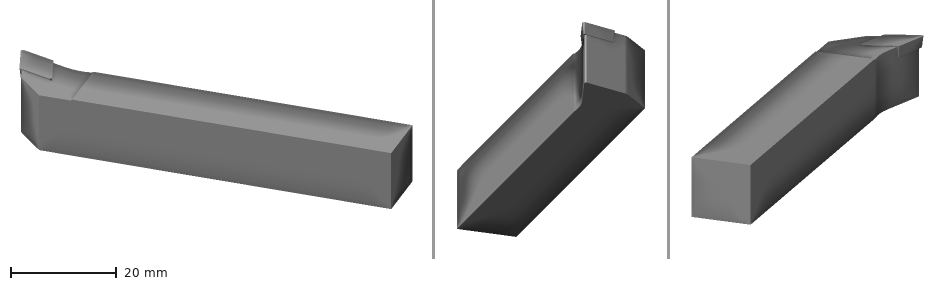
import cadquery as cq
import math

LENGTH = 79.8
SHANK_WIDTH = 12.0
HEIGHT = 12.0
TIP_Y = 15.8

INSERT_ANGLE = 55.0
INSERT_SIDE = 7.7
INSERT_THICKNESS = 2.3
INSERT_RELIEF = 7.0
NOSE_RADIUS = 0.4

HEAD_DROP = 0.2
HEAD_SETBACK = 0.44
HEAD_NOSE_RADIUS = 0.3
RAMP_START_X = 15.5
RAMP_END_X = 15.8
CHAMFER_X = 9.2
HEEL_RADIUS = 2.2
NECK_START_X = 10.0

half_angle = math.radians(INSERT_ANGLE / 2)
tilt = math.pi / 4 - half_angle
diagonal = math.sqrt(0.5)


def corner_from_nose_center(center_x, center_y):
    """Sharp corner lying outside the nose rounding, along the diagonal."""
    reach = NOSE_RADIUS / math.sin(half_angle) * diagonal
    return center_x - reach, center_y + reach


tip_x, tip_y = corner_from_nose_center(NOSE_RADIUS, TIP_Y - NOSE_RADIUS)

side_long = INSERT_SIDE * math.cos(tilt)
side_short = INSERT_SIDE * math.sin(tilt)


def extrude_insert(corner_radius):
    """Tapered rhombus, its top flush with the shank top."""
    corners = [
        (tip_x, tip_y),
        (tip_x + side_short, tip_y - side_long),
        (tip_x + side_short + side_long, tip_y - side_long - side_short),
        (tip_x + side_long, tip_y - side_short),
    ]
    sketch = cq.Sketch().polygon(corners + corners[:1])
    if corner_radius > 0:
        sketch = sketch.vertices().fillet(corner_radius)
    return (
        cq.Workplane("XY", origin=(0, 0, HEIGHT))
        .placeSketch(sketch)
        .extrude(-INSERT_THICKNESS, taper=INSERT_RELIEF)
    )


def make_holder_blank():
    """Shank and head in one outline, with the nose and heel rounded."""
    setback = HEAD_SETBACK / math.sin(half_angle) * diagonal
    nose_x = tip_x + setback
    nose_y = tip_y - setback

    slope = math.tan(tilt)
    heel_y = (CHAMFER_X - nose_x - nose_y * slope) / (1 - slope)
    heel_x = CHAMFER_X - heel_y
    neck_y = nose_y - (NECK_START_X - nose_x) * slope

    body = (
        cq.Workplane("XY")
        .moveTo(LENGTH, 0)
        .lineTo(CHAMFER_X, 0)
        .lineTo(heel_x, heel_y)
        .lineTo(nose_x, nose_y)
        .lineTo(NECK_START_X, neck_y)
        .tangentArcPoint((RAMP_START_X, SHANK_WIDTH), relative=False)
        .lineTo(LENGTH, SHANK_WIDTH)
        .close()
        .extrude(HEIGHT)
    )
    mid_height = HEIGHT / 2
    body = body.edges(cq.NearestToPointSelector((nose_x, nose_y, mid_height))).fillet(HEAD_NOSE_RADIUS)
    return body.edges(cq.NearestToPointSelector((heel_x, heel_y, mid_height))).fillet(HEEL_RADIUS)


def make_head_relief():
    """Material removed above the head, ending in a ramp up to the shank."""
    return (
        cq.Workplane("XZ")
        .moveTo(0, HEIGHT)
        .lineTo(0, HEIGHT - HEAD_DROP)
        .lineTo(RAMP_START_X, HEIGHT - HEAD_DROP)
        .lineTo(RAMP_END_X, HEIGHT)
        .close()
        .extrude(-TIP_Y)
    )


insert = extrude_insert(NOSE_RADIUS)
pocket = extrude_insert(0)
holder = make_holder_blank().cut(make_head_relief()).cut(pocket)

result = cq.Compound.makeCompound([holder.solids().val(), insert.val()])